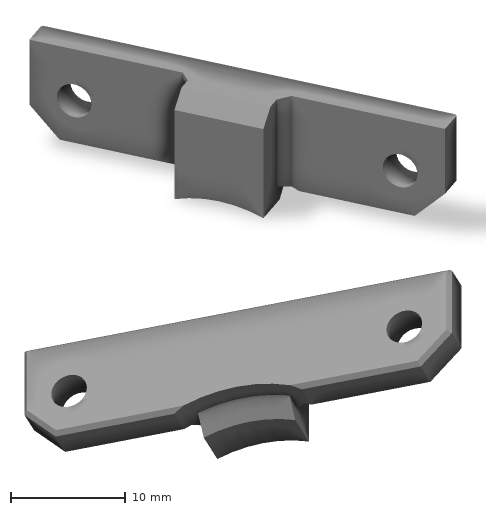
import cadquery as cq
import math

length = 39.6
plate_height = 9.42
plate_thickness = 2.97
corner_cut = 2.9
back_chamfer = 0.4
back_top_chamfer = 0.25

hole_diameter = 3.3
hole_spacing = 31.05
hole_depth_below_top = 5.2

total_depth = 7.0
total_height = 10.4
boss_width = 8.47
boss_chamfer_depth = 1.6
boss_chamfer_height = 1.43
gusset_width = 0.95
gusset_depth = 1.05

boss_relief_radius = 12.3
plate_relief_radius = 13.85
boss_relief_length = 3.6

half_boss = boss_width / 2
flare = plate_relief_radius - boss_relief_radius
flare_start = boss_relief_length - total_depth
boss_back = flare_start + flare
relief_axis_z = -total_height - math.sqrt(boss_relief_radius**2 - half_boss**2)


def make_plate():
    """Plate with cut lower corners and a chamfered back rim, lighter along the top."""
    half = length / 2
    outline = [
        (-half, 0),
        (half, 0),
        (half, corner_cut - plate_height),
        (half - corner_cut, -plate_height),
        (corner_cut - half, -plate_height),
        (-half, corner_cut - plate_height),
    ]
    plate = cq.Workplane("XZ").polyline(outline).close().extrude(plate_thickness)
    plate = plate.faces(">Y").edges("not(>Z)").chamfer(back_chamfer)
    return plate.faces(">Y").edges(">Z").chamfer(back_top_chamfer)


def make_gussets():
    """Trapezoid joining the boss to the front of the plate."""
    front = -plate_thickness - gusset_depth
    half_root = half_boss + gusset_width
    outline = [
        (-half_root, -plate_thickness),
        (half_root, -plate_thickness),
        (half_boss, front),
        (-half_boss, front),
    ]
    return cq.Workplane("XY").polyline(outline).close().extrude(-plate_height)


def make_plate_relief():
    """Cylinder that hollows the underside of the plate and gussets."""
    axis = cq.Workplane("XZ").center(0, relief_axis_z)
    return axis.circle(plate_relief_radius).extrude(total_depth)


def make_boss():
    """Boss with a chamfered top edge and a round underside that flares out towards the back."""
    profile = [
        (boss_back, 0),
        (boss_chamfer_depth - total_depth, 0),
        (-total_depth, -boss_chamfer_height),
        (-total_depth, -total_height),
        (boss_back, -total_height),
    ]
    boss = cq.Workplane("YZ").polyline(profile).close().extrude(half_boss, both=True)

    section = [
        (0, -total_depth),
        (boss_relief_radius, -total_depth),
        (boss_relief_radius, flare_start),
        (plate_relief_radius, boss_back),
        (plate_relief_radius, 0),
        (0, 0),
    ]
    relief = cq.Workplane("XY").polyline(section).close().revolve(360, (0, 0), (0, 1))
    return boss.cut(relief.translate((0, 0, relief_axis_z)))


def make_holes():
    """Through holes at both ends of the plate."""
    half_spacing = hole_spacing / 2
    centers = [(side * half_spacing, -hole_depth_below_top) for side in (-1, 1)]
    return cq.Workplane("XZ").pushPoints(centers).circle(hole_diameter / 2).extrude(plate_thickness)


relieved_plate = make_plate().union(make_gussets()).cut(make_plate_relief())
result = relieved_plate.union(make_boss()).cut(make_holes())